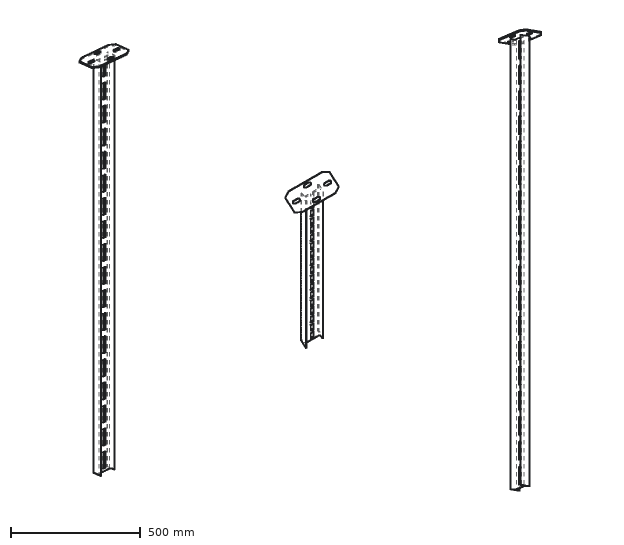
import cadquery as cq

TOTAL_HEIGHT = 1802.0

PLATE_WIDTH = 100.0
PLATE_LENGTH = 200.0
PLATE_THICKNESS = 6.0
CORNER_CUT_X = 15.0
CORNER_CUT_Y = 25.0

BOLT_SLOT_LENGTH = 30.0
END_SLOT_OFFSET = 70.0
BOLT_SLOT_WIDTH = 13.0
SIDE_SLOT_OFFSET = 35.0

POST_HEIGHT = TOTAL_HEIGHT - PLATE_THICKNESS
POST_DEPTH = 80.0
FLANGE_WIDTH = 40.0
FLANGE_TIP_THICKNESS = 4.0
FLANGE_ROOT_THICKNESS = 6.3
ROOT_FILLET_RADIUS = 4.0
WEB_THICKNESS = 5.0

WEB_SLOT_COUNT = 18
WEB_SLOT_LENGTH = 70.0
WEB_SLOT_WIDTH = 13.0
WEB_END_MARGIN = 13.0
LOWEST_SLOT_HEIGHT = WEB_END_MARGIN + WEB_SLOT_LENGTH / 2
WEB_SLOT_PITCH = (POST_HEIGHT - 2 * LOWEST_SLOT_HEIGHT) / (WEB_SLOT_COUNT - 1)


def make_post():
    """I-section post standing on Z = 0, web in the YZ plane."""
    half_depth = POST_DEPTH / 2
    half_flange = FLANGE_WIDTH / 2
    half_web = WEB_THICKNESS / 2
    tip_y = half_depth - FLANGE_TIP_THICKNESS
    root_y = half_depth - FLANGE_ROOT_THICKNESS
    right_side = [
        (half_flange, -half_depth),
        (half_flange, -tip_y),
        (half_web, -root_y),
        (half_web, root_y),
        (half_flange, tip_y),
        (half_flange, half_depth),
    ]
    left_side = [(-x, y) for x, y in reversed(right_side)]
    beam = cq.Workplane("XY").polyline(right_side + left_side).close().extrude(POST_HEIGHT)
    root_zone = cq.selectors.BoxSelector(
        (-half_flange / 2, -root_y - ROOT_FILLET_RADIUS, 0),
        (half_flange / 2, root_y + ROOT_FILLET_RADIUS, POST_HEIGHT),
    )
    beam = beam.edges("|Z").edges(root_zone).fillet(ROOT_FILLET_RADIUS)

    slot_centers = [(0, LOWEST_SLOT_HEIGHT + i * WEB_SLOT_PITCH) for i in range(WEB_SLOT_COUNT)]
    slots = (
        cq.Workplane("YZ")
        .pushPoints(slot_centers)
        .rect(WEB_SLOT_WIDTH, WEB_SLOT_LENGTH)
        .extrude(half_web, both=True)
    )
    return beam.cut(slots)


def cut_bolt_slots(plate):
    """Cut one slot near each end and each long side of the plate."""
    centers = [
        (0, -END_SLOT_OFFSET),
        (0, END_SLOT_OFFSET),
        (-SIDE_SLOT_OFFSET, 0),
        (SIDE_SLOT_OFFSET, 0),
    ]
    slots = (
        cq.Workplane("XY", origin=(0, 0, POST_HEIGHT))
        .pushPoints(centers)
        .slot2D(BOLT_SLOT_LENGTH, BOLT_SLOT_WIDTH, 90)
        .extrude(PLATE_THICKNESS)
    )
    return plate.cut(slots)


def make_head_plate():
    """Flat plate with cut corners, resting on the top of the post."""
    half_width = PLATE_WIDTH / 2
    half_length = PLATE_LENGTH / 2
    cut_x = half_width - CORNER_CUT_X
    cut_y = half_length - CORNER_CUT_Y
    right_side = [
        (cut_x, -half_length),
        (half_width, -cut_y),
        (half_width, cut_y),
        (cut_x, half_length),
    ]
    left_side = [(-x, y) for x, y in reversed(right_side)]
    plate = (
        cq.Workplane("XY", origin=(0, 0, POST_HEIGHT))
        .polyline(right_side + left_side)
        .close()
        .extrude(PLATE_THICKNESS)
    )
    return cut_bolt_slots(plate)


post = make_post()
head_plate = make_head_plate()
result = cq.Compound.makeCompound([post.val(), head_plate.val()])